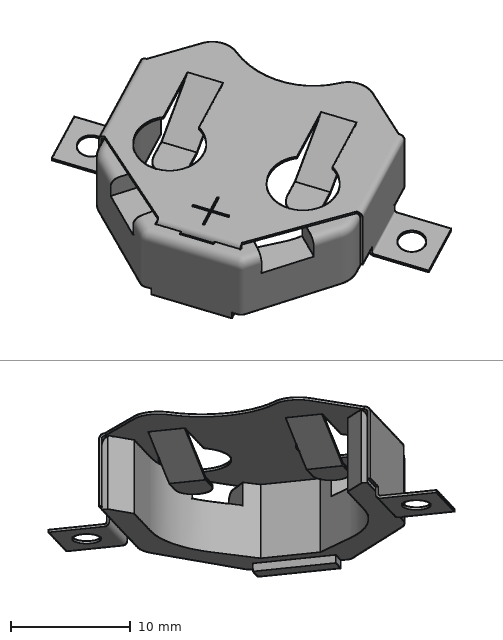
import cadquery as cq
import math


overall_width = 34.0
overall_depth = 22.28
overall_height = 7.48
sheet = 0.25
bend_outer = 0.55
bend_inner = bend_outer - sheet

body_half_width = 11.63
body_front_half = 4.5
body_back = 18.25
body_bottom = 0.7
body_top = overall_height - sheet
body_top_radius = 0.8
side_corner_radius = 2.38
front_corner_radius = 0.7
front_wall_angle = 45.0
cavity_half_width = 9.35
cavity_arc_radius = 8.4
cavity_arc_y = 11.87
cavity_wall_angle = 38.0
cavity_front = 2.5
mouth_chamfer = 1.77
key_width = 7.28
key_depth = 1.45

window_length = 4.75
window_sill = 5.2
window_center_x = 7.48
window_reach = 4.08
window_front_skew = 3.5

leg_clearance = 0.05
leg_inner_face = body_half_width + leg_clearance
leg_half_width = leg_inner_face + sheet
leg_front = 8.8
leg_back = body_back
leg_bottom = 1.05
foot_width = 5.1
foot_y = 13.5
foot_bend_inner = 0.2
foot_bend_outer = foot_bend_inner + sheet
foot_hole_x = 14.45
foot_hole_diameter = 2.4

plate_half_width = leg_half_width - bend_outer
lobe_x = 6.12
lobe_radius = 2.3
lobe_y = overall_depth - lobe_radius
thumb_notch_y = 20.1

lip_front = 1.43
lip_width = 7.55
lip_bottom = 5.78
lip_slot_width = 7.7
lip_bend_y = lip_front + bend_outer
latch_width = 3.03
latch_reach = 0.3
latch_depth = 0.2

tongue_x = 6.02
tongue_width = 3.2
tongue_root = 18.13
tongue_knee = 12.2
tongue_tip = 8.9
tongue_drop = 2.62
tongue_hole_y = 10.1
tongue_hole_radius = 3.05

mark_y = 4.35
mark_length = 3.25
mark_width = 0.15
mark_depth = 0.07


def box(x_size, y_range, z_range, x=0):
    """Box centred on x, spanning the given Y and Z ranges."""
    y_low, y_high = y_range
    z_low, z_high = z_range
    blank = cq.Workplane("XY").box(x_size, y_high - y_low, z_high - z_low, centered=(True, False, False))
    return blank.translate((x, y_low, z_low))


def both_sides(shape):
    """The shape together with its mirror image across the YZ plane."""
    return shape.union(shape.mirror("YZ"))


def make_shell():
    """Body block with angled front corners and a rounded top edge; the back edge stays sharp."""
    side_corner_y = (body_half_width - body_front_half) * math.tan(math.radians(front_wall_angle))
    block = (
        cq.Workplane("XY", origin=(0, 0, body_bottom))
        .polyline([
            (-body_front_half, 0),
            (body_front_half, 0),
            (body_half_width, side_corner_y),
            (body_half_width, body_back),
            (-body_half_width, body_back),
            (-body_half_width, side_corner_y),
        ])
        .close()
        .extrude(body_top - body_bottom)
    )
    block = block.edges("|Z and <Y").fillet(front_corner_radius)
    block = block.edges("|Z").edges(cq.selectors.BoxSelector(
        (-overall_width, side_corner_y - 0.35, 0),
        (overall_width, side_corner_y + 0.35, overall_height),
    )).fillet(side_corner_radius)
    return block.faces(">Z").edges("not >Y").fillet(body_top_radius)


def make_half_cavity():
    """Right half of the cell pocket: it runs straight out of the back through a bevelled mouth."""
    arc_center_x = cavity_half_width - cavity_arc_radius
    slope = math.radians(cavity_wall_angle)
    arc_end_x = arc_center_x + cavity_arc_radius * math.sin(slope)
    arc_end_y = cavity_arc_y - cavity_arc_radius * math.cos(slope)
    mid_angle = (slope + math.pi / 2) / 2
    arc_mid_x = arc_center_x + cavity_arc_radius * math.sin(mid_angle)
    arc_mid_y = cavity_arc_y - cavity_arc_radius * math.cos(mid_angle)
    front_corner_x = arc_end_x - (arc_end_y - cavity_front) / math.tan(slope)
    return (
        cq.Workplane("XY")
        .moveTo(0, cavity_front)
        .lineTo(front_corner_x, cavity_front)
        .lineTo(arc_end_x, arc_end_y)
        .threePointArc((arc_mid_x, arc_mid_y), (cavity_half_width, cavity_arc_y))
        .lineTo(cavity_half_width, body_back - mouth_chamfer)
        .lineTo(cavity_half_width + mouth_chamfer, body_back)
        .lineTo(0, body_back)
        .close()
        .extrude(overall_height)
    )


def make_window():
    """Cutter for the window in the right-hand angled wall; its front end narrows slightly inward."""
    half_length = window_length / 2
    front_shift = window_reach * math.tan(math.radians(window_front_skew))
    window_center_y = (window_center_x - body_front_half) * math.tan(math.radians(front_wall_angle))
    return (
        cq.Workplane("XY")
        .polyline([
            (-half_length, 0),
            (half_length, 0),
            (half_length, window_reach),
            (front_shift - half_length, window_reach),
        ])
        .close()
        .extrude(body_top - window_sill)
        .rotate((0, 0, 0), (0, 0, 1), front_wall_angle)
        .translate((window_center_x, window_center_y, window_sill))
    )


def make_latch_notch():
    """Ramped notch in the top of the front wall, deepest against the lip."""
    return (
        cq.Workplane("YZ")
        .polyline([
            (lip_front - latch_reach, body_top),
            (lip_front, body_top),
            (lip_front, body_top - latch_depth),
        ])
        .close()
        .extrude(latch_width / 2, both=True)
    )


def make_body():
    lip_slot = box(lip_slot_width, (lip_front, lip_front + sheet), (lip_bottom, body_top))
    key = box(key_width, (0, key_depth), (0, body_bottom))
    return (
        make_shell()
        .cut(both_sides(make_half_cavity()))
        .cut(both_sides(make_window()))
        .cut(lip_slot)
        .cut(make_latch_notch())
        .union(key)
    )


def make_plate():
    """Flat top plate with two rounded lobes and a thumb notch at the back."""
    lobe_rise = thumb_notch_y - lobe_y
    notch_radius = (lobe_x**2 + lobe_rise**2 - lobe_radius**2) / (2 * (lobe_radius - lobe_rise))
    lobe_share = lobe_radius / (notch_radius + lobe_radius)
    notch_end_x = lobe_x * (1 - lobe_share)
    notch_end_y = lobe_y + lobe_share * (thumb_notch_y + notch_radius - lobe_y)

    run = plate_half_width - lobe_x
    fall = lobe_y - leg_back
    tangent_angle = math.acos(lobe_radius / math.hypot(run, fall)) - math.atan2(fall, run)
    lobe_end_x = lobe_x + lobe_radius * math.cos(tangent_angle)
    lobe_end_y = lobe_y + lobe_radius * math.sin(tangent_angle)

    return (
        cq.Workplane("XY", origin=(0, 0, body_top))
        .moveTo(-lip_width / 2, lip_bend_y)
        .lineTo(lip_width / 2, lip_bend_y)
        .lineTo(plate_half_width, leg_front)
        .lineTo(plate_half_width, leg_back)
        .lineTo(lobe_end_x, lobe_end_y)
        .threePointArc((lobe_x, overall_depth), (notch_end_x, notch_end_y))
        .threePointArc((0, thumb_notch_y), (-notch_end_x, notch_end_y))
        .threePointArc((-lobe_x, overall_depth), (-lobe_end_x, lobe_end_y))
        .lineTo(-plate_half_width, leg_back)
        .lineTo(-plate_half_width, leg_front)
        .close()
        .extrude(sheet)
    )


def make_folded_edge(plane, outer_face, bottom):
    """Profile of a plate edge bent down through 90 degrees, with its outer face at outer_face."""
    bend_start = outer_face - bend_outer
    bend_z = overall_height - bend_outer
    return (
        cq.Workplane(plane)
        .moveTo(bend_start, overall_height)
        .radiusArc((outer_face, bend_z), bend_outer)
        .lineTo(outer_face, bottom)
        .lineTo(outer_face - sheet, bottom)
        .lineTo(outer_face - sheet, bend_z)
        .radiusArc((bend_start, body_top), -bend_inner)
        .close()
    )


def make_leg():
    """Right-hand leg with its bend from the top plate."""
    half_length = (leg_back - leg_front) / 2
    leg = make_folded_edge("XZ", leg_half_width, leg_bottom).extrude(half_length, both=True)
    return leg.translate((0, leg_front + half_length, 0))


def make_lip():
    """Front lip: an edge folded at +Y, turned round to face the front."""
    lip = make_folded_edge("YZ", -lip_front, lip_bottom)
    return lip.extrude(lip_width / 2, both=True).mirror("XZ")


def make_foot():
    """Right-hand foot: continues the leg down and bends outward, with a round hole."""
    foot = (
        cq.Workplane("XZ", origin=(0, foot_y, 0))
        .moveTo(leg_half_width, leg_bottom)
        .lineTo(leg_half_width, foot_bend_outer)
        .radiusArc((leg_half_width + foot_bend_inner, sheet), -foot_bend_inner)
        .lineTo(overall_width / 2, sheet)
        .lineTo(overall_width / 2, 0)
        .lineTo(leg_half_width + foot_bend_inner, 0)
        .radiusArc((leg_inner_face, foot_bend_outer), foot_bend_outer)
        .lineTo(leg_inner_face, leg_bottom)
        .close()
        .extrude(foot_width / 2, both=True)
    )
    hole = cq.Workplane("XY").center(foot_hole_x, foot_y).circle(foot_hole_diameter / 2).extrude(sheet)
    return foot.cut(hole)


def make_tongue_opening():
    """Keyhole opening in the plate around the right-hand tongue."""
    slot = box(tongue_width, (tongue_hole_y, tongue_root), (body_top, overall_height), tongue_x)
    hole = (
        cq.Workplane("XY", origin=(0, 0, body_top))
        .center(tongue_x, tongue_hole_y)
        .circle(tongue_hole_radius)
        .extrude(sheet)
    )
    return slot.union(hole)


def make_tongue():
    """Right-hand contact tongue: slopes down from the plate, then runs level to a round tip."""
    low = overall_height - tongue_drop
    strip = (
        cq.Workplane("YZ", origin=(tongue_x, 0, 0))
        .polyline([
            (tongue_root, overall_height),
            (tongue_knee, low),
            (tongue_tip, low),
            (tongue_tip, low - sheet),
            (tongue_knee, low - sheet),
            (tongue_root, body_top),
        ])
        .close()
        .extrude(tongue_width / 2, both=True)
    )
    tip_radius = tongue_width / 2
    tip_center_y = tongue_tip + tip_radius
    rounded_tip = cq.Workplane("XY").center(tongue_x, tip_center_y).circle(tip_radius).extrude(overall_height)
    straight = box(tongue_width, (tip_center_y, tongue_root), (0, overall_height), tongue_x)
    return strip.intersect(straight.union(rounded_tip))


def make_polarity_mark():
    """Shallow plus sign for the top of the plate."""
    mark = cq.Workplane("XY", origin=(0, mark_y, overall_height - mark_depth))
    return mark.rect(mark_length, mark_width).extrude(mark_depth).union(
        mark.rect(mark_width, mark_length).extrude(mark_depth)
    )


clip = (
    make_plate()
    .cut(both_sides(make_tongue_opening()))
    .union(both_sides(make_tongue()))
    .union(both_sides(make_leg()))
    .union(both_sides(make_foot()))
    .union(make_lip())
    .cut(make_polarity_mark())
)

result = make_body().union(clip)